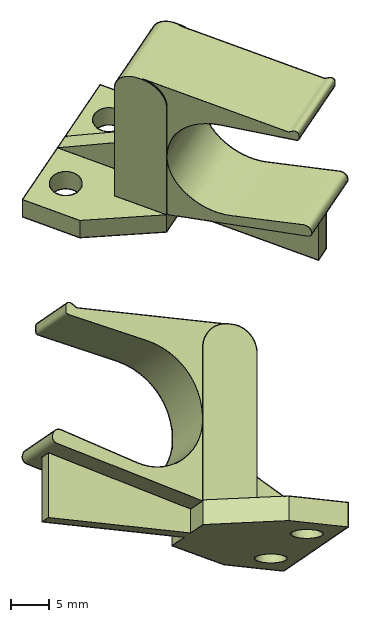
import cadquery as cq
import math

plate_width = 22.86
plate_height = 3.35
plate_straight_length = 8.38
hole_diameter = 4.27
hole_x = 3.81
hole_spacing = 12.7

post_front = 10.46
post_length = 7.62
post_back = post_front + post_length
post_width = 10.97
post_top = 27.65
post_round = 3.56

rib_width = 2.29
front_rib_top = 9.6
back_rib_end = 38.1

clip_width = 10.67
upper_center_z = 14.45
lower_center_z = 14.25
upper_radius = 10.0
lower_radius = 7.08
upper_slope = math.radians(12.2)
lower_slope = math.radians(17.4)
underside_slope = math.radians(15.5)
underside_start = 3.25

upper_tip_x = 37.32
lip_start_x = 35.79
lip_root_round = 0.5
lip_slope = math.radians(30)
lip_top = 28.27
lip_round = 0.5
lip_lower_round = 0.5

lower_tip_x = 39.21
lower_tip_round = 0.9


def extruded_profile(outline, width):
    """Extrude an XZ outline symmetrically about the XZ plane."""
    return outline.close().extrude(width / 2, both=True)


def underside_z(x):
    """Height of the sloping underside of the lower jaw."""
    return underside_start + (x - post_back) * math.tan(underside_slope)


def make_plate():
    half_plate = plate_width / 2
    half_post = post_width / 2
    outline = [
        (0, -half_plate),
        (plate_straight_length, -half_plate),
        (post_back, -half_post),
        (post_back, half_post),
        (plate_straight_length, half_plate),
        (0, half_plate),
    ]
    plate = cq.Workplane("XY").polyline(outline).close().extrude(plate_height)
    hole_centers = [(hole_x, side * hole_spacing / 2) for side in (-1, 1)]
    holes = cq.Workplane("XY").pushPoints(hole_centers).circle(hole_diameter / 2).extrude(plate_height)
    return plate.cut(holes)


def make_post():
    post = cq.Workplane("XY").box(post_length, post_width, post_top, centered=(False, True, False))
    return post.edges("|Y and >Z").fillet(post_round).translate((post_front, 0, 0))


def make_front_rib():
    outline = cq.Workplane("XZ").polyline(
        [(0, plate_height), (post_front, plate_height), (post_front, front_rib_top)]
    )
    return extruded_profile(outline, rib_width)


def make_back_rib():
    outline = cq.Workplane("XZ").polyline(
        [
            (post_back, 0),
            (back_rib_end, 0),
            (back_rib_end, underside_z(back_rib_end)),
            (post_back, underside_start),
        ]
    )
    return extruded_profile(outline, rib_width)


def throat_point(radius, center_z, angle):
    """Point on a throat arc, with the angle measured at the arc center from +X."""
    center_x = post_back + radius
    return (center_x + radius * math.cos(angle), center_z + radius * math.sin(angle))


def fillet_corner(body, corner, radius):
    """Round the edge that runs along Y through an XZ corner point."""
    selector = cq.selectors.NearestToPointSelector((corner[0], 0, corner[1]))
    return body.edges("|Y").edges(selector).fillet(radius)


def make_clip():
    clip_start = post_front + post_length / 2

    upper_end_angle = math.pi / 2 + upper_slope
    lower_end_angle = 1.5 * math.pi + lower_slope
    upper_end = throat_point(upper_radius, upper_center_z, upper_end_angle)
    upper_mid = throat_point(upper_radius, upper_center_z, (upper_end_angle + math.pi) / 2)
    lower_end = throat_point(lower_radius, lower_center_z, lower_end_angle)
    lower_mid = throat_point(lower_radius, lower_center_z, (lower_end_angle + math.pi) / 2)

    tip_x = lower_tip_x - lower_tip_round
    tip_z = underside_z(tip_x) + lower_tip_round / math.cos(underside_slope)
    jaw_direction = (math.cos(lower_slope), math.sin(lower_slope))
    tip_lower = (
        tip_x + lower_tip_round * math.sin(underside_slope),
        tip_z - lower_tip_round * math.cos(underside_slope),
    )
    end_face_bottom = (
        tip_x + lower_tip_round * jaw_direction[0],
        tip_z + lower_tip_round * jaw_direction[1],
    )
    jaw_face_length = (
        (end_face_bottom[0] - lower_end[0]) * jaw_direction[0]
        + (end_face_bottom[1] - lower_end[1]) * jaw_direction[1]
    )
    end_face_top = (
        lower_end[0] + jaw_face_length * jaw_direction[0],
        lower_end[1] + jaw_face_length * jaw_direction[1],
    )

    lip_x = upper_tip_x - lip_round
    lip_z = lip_top - lip_round
    lip_tangent = (lip_x - lip_round * math.sin(lip_slope), lip_z + lip_round * math.cos(lip_slope))
    lip_mid_angle = math.pi / 4
    lip_mid = (lip_x + lip_round * math.cos(lip_mid_angle), lip_z + lip_round * math.sin(lip_mid_angle))
    upper_corner_z = upper_end[1] + (upper_tip_x - upper_end[0]) * math.tan(upper_slope)

    outline = (
        cq.Workplane("XZ")
        .moveTo(clip_start, underside_start)
        .lineTo(post_back, underside_start)
        .lineTo(*tip_lower)
        .threePointArc((lower_tip_x, tip_z), end_face_bottom)
        .lineTo(*end_face_top)
        .lineTo(*lower_end)
        .threePointArc(lower_mid, (post_back, lower_center_z))
        .lineTo(post_back, upper_center_z)
        .threePointArc(upper_mid, upper_end)
        .lineTo(upper_tip_x, upper_corner_z)
        .lineTo(upper_tip_x, lip_z)
        .threePointArc(lip_mid, lip_tangent)
        .lineTo(lip_start_x, post_top)
        .lineTo(clip_start, post_top)
    )
    clip = extruded_profile(outline, clip_width)
    clip = fillet_corner(clip, end_face_top, lower_tip_round)
    clip = fillet_corner(clip, (upper_tip_x, upper_corner_z), lip_lower_round)
    return fillet_corner(clip, (lip_start_x, post_top), lip_root_round)


result = (
    make_plate()
    .union(make_post())
    .union(make_front_rib())
    .union(make_clip())
    .union(make_back_rib())
)